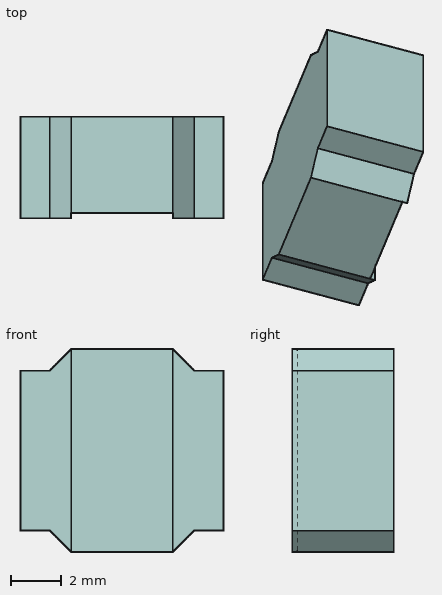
import cadquery as cq

width = 8.0
depth = 4.0
height = 8.0

core_width = 4.0
corner_slope = 0.85
recess_depth = 0.2

half_width = width / 2
half_height = height / 2
half_core = core_width / 2
cap_half_height = half_height - corner_slope
slope_foot = half_core + corner_slope


def make_body():
    """Stepped outline in XZ, extruded through the full depth."""
    quarter = [
        (half_core, half_height),
        (slope_foot, cap_half_height),
        (half_width, cap_half_height),
    ]
    right_side = quarter + [(x, -z) for x, z in reversed(quarter)]
    left_side = [(-x, z) for x, z in reversed(right_side)]
    outline = right_side + left_side
    return cq.Workplane("XZ").polyline(outline).close().extrude(depth / 2, both=True)


def make_front_recess():
    """Full-height shallow channel in the -Y face between the end caps."""
    return (
        cq.Workplane("XY")
        .box(core_width, recess_depth, height)
        .translate((0, -(depth - recess_depth) / 2, 0))
    )


result = make_body().cut(make_front_recess())